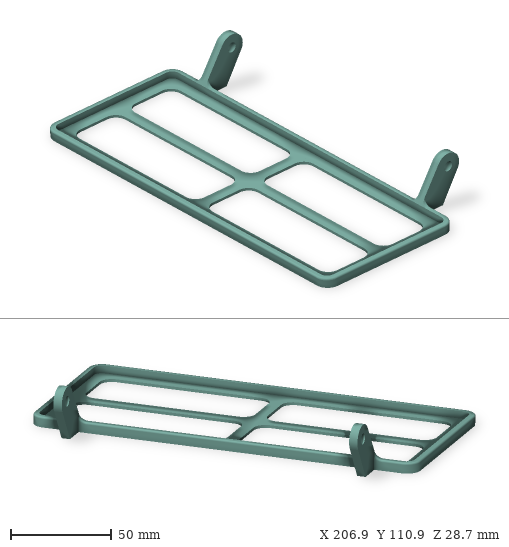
import cadquery as cq
import math

frame_length = 206.9
frame_width = 88.0
frame_height = 5.5
frame_corner_radius = 7.2
front_wall_draft = math.radians(5)
rim_width = 3.0
floor_thickness = 1.5
rim_fillet = 1.0
pocket_length = frame_length - 2 * rim_width
pocket_width = frame_width - 2 * rim_width
pocket_corner_radius = frame_corner_radius - rim_width

window_length = 90.6
window_width = 31.0
window_corner_radius = 6.5
crossbar_width = 6.6
window_pitch_x = window_length + crossbar_width
window_pitch_y = window_width + crossbar_width

overall_width = 110.85
overall_height = 28.66
arm_thickness = 4.5
arm_spacing = 158.5
arm_end_radius = 7.5
arm_back_slope = math.radians(60)
arm_hole_diameter = 5.5
arm_positions = (-arm_spacing / 2, arm_spacing / 2)

root_radius = 4.0
root_cap_height = 1.0
root_half_width = arm_thickness / 2 + root_radius
root_height = root_radius + root_cap_height

frame_back = frame_width / 2
rim_inner_back = frame_back - rim_width
arm_hole_y = overall_width - frame_back - arm_end_radius
arm_hole_z = overall_height - arm_end_radius

foot_to_hole_y = arm_hole_y - rim_inner_back
foot_to_hole_z = arm_hole_z - frame_height
foot_to_hole = math.hypot(foot_to_hole_y, foot_to_hole_z)
arm_front_slope = math.atan2(foot_to_hole_z, foot_to_hole_y) + math.asin(arm_end_radius / foot_to_hole)
front_tangent = (
    arm_hole_y - arm_end_radius * math.sin(arm_front_slope),
    arm_hole_z + arm_end_radius * math.cos(arm_front_slope),
)
end_tip = (
    arm_hole_y + arm_end_radius * math.cos(arm_back_slope),
    arm_hole_z + arm_end_radius * math.sin(arm_back_slope),
)
back_tangent = (
    arm_hole_y + arm_end_radius * math.sin(arm_back_slope),
    arm_hole_z - arm_end_radius * math.cos(arm_back_slope),
)
back_foot_y = back_tangent[0] - back_tangent[1] / math.tan(arm_back_slope)

rounding_inset = rim_fillet * (math.tan(front_wall_draft) + 1 / math.cos(front_wall_draft) - 1)
front_top_y = -frame_back - rounding_inset


def rounded_block(length, width, height, radius):
    """Block standing on Z = 0 with rounded vertical edges."""
    block = cq.Workplane("XY").box(length, width, height, centered=(True, True, False))
    return block.edges("|Z").fillet(radius)


def make_frame_block():
    """Solid block of the frame; its front wall leans outward from the bottom up."""
    front_bottom_y = front_top_y + frame_height * math.tan(front_wall_draft)
    block = (
        cq.Workplane("YZ")
        .moveTo(front_bottom_y, 0)
        .lineTo(frame_back, 0)
        .lineTo(frame_back, frame_height)
        .lineTo(front_top_y, frame_height)
        .close()
        .extrude(frame_length / 2, both=True)
    )
    return block.faces("<X or >X").edges("not |Y").fillet(frame_corner_radius)


def make_root(x):
    """Flared root on the rim's top, with a concave arc on each side of the arm."""
    half_arm = arm_thickness / 2
    arc_bulge = root_radius * (1 - math.sqrt(0.5))
    arc_top = frame_height + root_radius
    block_top = frame_height + root_height
    return (
        cq.Workplane("XZ", origin=(x, frame_back, 0))
        .moveTo(-root_half_width, frame_height)
        .threePointArc((-half_arm - arc_bulge, frame_height + arc_bulge), (-half_arm, arc_top))
        .lineTo(-half_arm, block_top)
        .lineTo(half_arm, block_top)
        .lineTo(half_arm, arc_top)
        .threePointArc((half_arm + arc_bulge, frame_height + arc_bulge), (root_half_width, frame_height))
        .close()
        .extrude(rim_width)
    )


def make_root_trim(x):
    """Wedge ahead of the arm's front slope, which cuts the roots to the same slope."""
    slope_top_y = rim_inner_back + root_height / math.tan(arm_front_slope)
    block_top = frame_height + root_height
    return (
        cq.Workplane("YZ", origin=(x, 0, 0))
        .moveTo(rim_inner_back, frame_height)
        .lineTo(slope_top_y, block_top)
        .lineTo(rim_inner_back, block_top)
        .close()
        .extrude(root_half_width, both=True)
    )


def make_frame():
    """Shallow tray whose outer top fillet also runs up the back of the arm roots."""
    body = make_frame_block()
    for x in arm_positions:
        body = body.union(make_root(x))
    between_roots = cq.selectors.NearestToPointSelector((0, frame_back, frame_height))
    front_middle = cq.selectors.NearestToPointSelector((0, front_top_y, frame_height))
    body = body.edges(between_roots + front_middle).fillet(rim_fillet)
    for x in arm_positions:
        body = body.cut(make_root_trim(x))
    pocket = rounded_block(pocket_length, pocket_width, frame_height, pocket_corner_radius)
    return body.cut(pocket.translate((0, 0, floor_thickness)))


def make_windows():
    """Cutters for the four rounded windows."""
    centres = cq.Workplane("XY").rarray(window_pitch_x, window_pitch_y, 2, 2)
    cutters = centres.rect(window_length, window_width).extrude(frame_height)
    return cutters.edges("|Z").fillet(window_corner_radius)


def make_arm(x):
    """Leaning arm with a round, drilled end; its front slope rises from the rim's inner top edge."""
    plane = cq.Workplane("YZ", origin=(x, 0, 0))
    arm = (
        plane.moveTo(rim_inner_back, 0)
        .lineTo(back_foot_y, 0)
        .lineTo(*back_tangent)
        .threePointArc(end_tip, front_tangent)
        .lineTo(rim_inner_back, frame_height)
        .close()
        .extrude(arm_thickness / 2, both=True)
    )
    hole = plane.center(arm_hole_y, arm_hole_z).circle(arm_hole_diameter / 2)
    return arm.cut(hole.extrude(arm_thickness, both=True))


result = make_frame().cut(make_windows())
for arm_x in arm_positions:
    result = result.union(make_arm(arm_x))